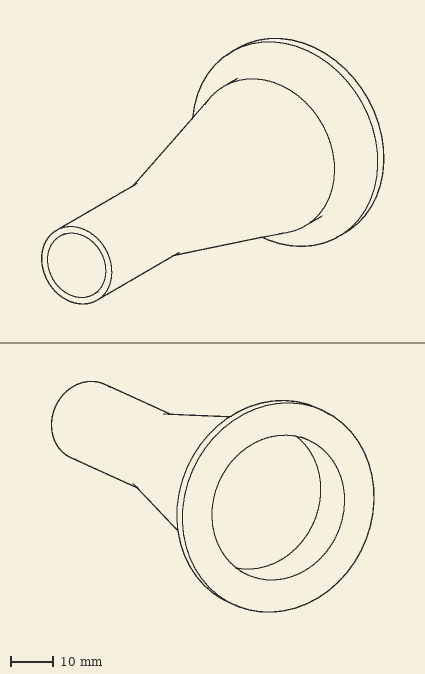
import cadquery as cq
import math

total_length = 101.6

flange_diameter = 50.4
rim_thickness = 2.9
taper_angle = 20.0
ferrule_length = 12.7
fillet_radius = 1.6

large_diameter = 38.1
small_diameter = 19.1
cone_length = 50.8
wall = 1.6

flange_face_y = total_length / 2
joint_y = flange_face_y - ferrule_length
cone_end_y = joint_y - cone_length
tube_end_y = flange_face_y - total_length

flange_radius = flange_diameter / 2
large_radius = large_diameter / 2
small_radius = small_diameter / 2
large_bore_radius = large_radius - wall
small_bore_radius = small_radius - wall


def revolve_about_y(profile):
    """Turn a closed profile, with Z as radius, about the Y axis."""
    return profile.close().revolve(360, (0, 0, 0), (0, 1, 0))


def make_ferrule():
    slope = math.radians(taper_angle)
    rim_back_y = flange_face_y - rim_thickness
    corner_y = rim_back_y - (flange_radius - large_radius) * math.tan(slope)

    turn = math.pi / 2 - slope
    tangent_length = fillet_radius * math.tan(turn / 2)
    center_radius = large_radius + fillet_radius
    center_y = corner_y - tangent_length

    def fillet_point(angle):
        return (
            center_radius - fillet_radius * math.cos(angle),
            center_y + fillet_radius * math.sin(angle),
        )

    profile = (
        cq.Workplane("ZY")
        .moveTo(large_bore_radius, flange_face_y)
        .lineTo(flange_radius, flange_face_y)
        .lineTo(flange_radius, rim_back_y)
        .lineTo(*fillet_point(turn))
        .threePointArc(fillet_point(turn / 2), fillet_point(0))
        .lineTo(large_radius, joint_y)
        .lineTo(large_bore_radius, joint_y)
    )
    return revolve_about_y(profile)


def make_reducer():
    profile = (
        cq.Workplane("ZY")
        .moveTo(large_bore_radius, joint_y)
        .lineTo(large_radius, joint_y)
        .lineTo(small_radius, cone_end_y)
        .lineTo(small_radius, tube_end_y)
        .lineTo(small_bore_radius, tube_end_y)
        .lineTo(small_bore_radius, cone_end_y)
    )
    return revolve_about_y(profile)


ferrule = make_ferrule()
reducer = make_reducer()

result = cq.Compound.makeCompound([ferrule.val(), reducer.val()])